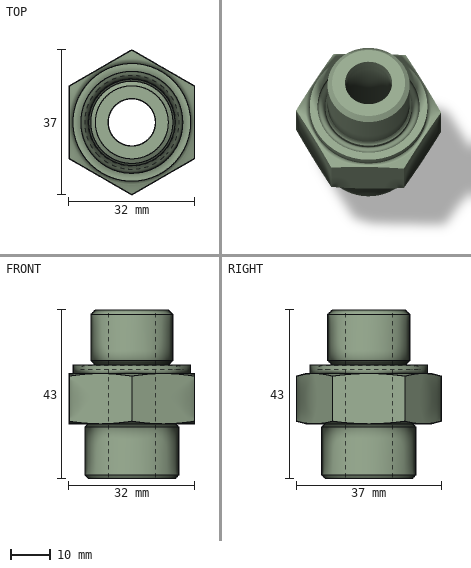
import cadquery as cq
import math

total_height = 43.0
hex_bottom = 14.0
hex_top = 26.8
flange_top = 29.0

hex_across_flats = 32.0
hex_sides = 6
hex_half_sector = 180.0 / hex_sides
hex_across_corners = hex_across_flats / math.cos(math.radians(hex_half_sector))
hex_chamfer_angle = 15.0

lower_diameter = 24.0
lower_end_chamfer = 1.0
lower_neck_chamfer = 0.85

upper_diameter = 20.95
upper_chamfer = 1.17

flange_diameter = 30.0
groove_inner_diameter = 22.0
groove_outer_diameter = 26.0
groove_inner_radius = groove_inner_diameter / 2
groove_outer_radius = groove_outer_diameter / 2
ring_section_radius = (groove_outer_radius - groove_inner_radius) / 2
ring_center_radius = (groove_outer_radius + groove_inner_radius) / 2
ring_top_recess = 0.2

bore_diameter = 12.0


def cylinder(diameter, bottom, top):
    """Cylinder about the Z axis between two heights."""
    return cq.Workplane("XY").workplane(offset=bottom).circle(diameter / 2).extrude(top - bottom)


def make_lower_stud():
    """Stud below the hexagon, bevelled at its end and at its neck."""
    stud = cylinder(lower_diameter, 0, hex_bottom)
    return stud.faces("<Z").chamfer(lower_end_chamfer).faces(">Z").chamfer(lower_neck_chamfer)


def make_upper_stud():
    """Stud above the flange, bevelled at both ends."""
    stud = cylinder(upper_diameter, flange_top, total_height)
    return stud.faces("<Z or >Z").chamfer(upper_chamfer)


def make_hexagon():
    """Hexagon whose corners are turned down by a shallow cone starting at the flats at each end."""
    hexagon = (
        cq.Workplane("XY")
        .workplane(offset=hex_bottom)
        .polygon(hex_sides, hex_across_corners)
        .extrude(hex_top - hex_bottom)
        .rotate((0, 0, 0), (0, 0, 1), hex_half_sector)
    )
    flat_radius = hex_across_flats / 2
    corner_radius = hex_across_corners / 2
    corner_drop = (corner_radius - flat_radius) * math.tan(math.radians(hex_chamfer_angle))
    turned_envelope = (
        cq.Workplane("XZ")
        .moveTo(0, hex_bottom)
        .lineTo(flat_radius, hex_bottom)
        .lineTo(corner_radius, hex_bottom + corner_drop)
        .lineTo(corner_radius, hex_top - corner_drop)
        .lineTo(flat_radius, hex_top)
        .lineTo(0, hex_top)
        .close()
        .revolve(360, (0, 0, 0), (0, 1, 0))
    )
    return hexagon.intersect(turned_envelope)


def make_flange():
    """Round flange whose top groove is filled by a seal ring with a rounded crown."""
    crown_height = flange_top - ring_top_recess
    shoulder_height = crown_height - ring_section_radius
    groove_space = (
        cq.Workplane("XZ")
        .moveTo(groove_inner_radius, flange_top)
        .lineTo(groove_inner_radius, shoulder_height)
        .threePointArc((ring_center_radius, crown_height), (groove_outer_radius, shoulder_height))
        .lineTo(groove_outer_radius, flange_top)
        .close()
        .revolve(360, (0, 0, 0), (0, 1, 0))
    )
    return cylinder(flange_diameter, hex_top, flange_top).cut(groove_space)


body = make_lower_stud().union(make_hexagon()).union(make_flange()).union(make_upper_stud())
result = body.cut(cylinder(bore_diameter, 0, total_height))